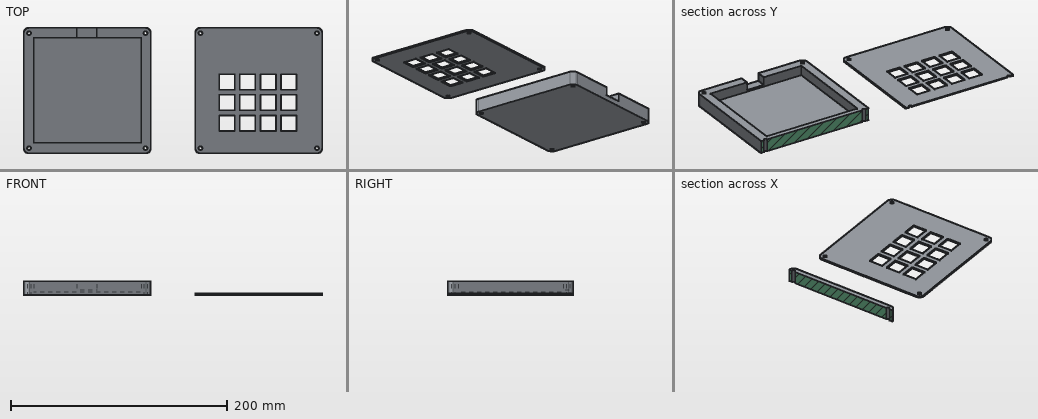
import cadquery as cq

width = 117.8
depth = 116.5
corner_radius = 5.0
screw_inset = corner_radius
screw_diameter = 3.3

case_height = 13.0
floor_thickness = 3.0
wall_side = 9.0
wall_front = 10.0
wall_back = 9.5
notch_left = 49.2
notch_width = 18.2
notch_floor = 5.0

total_length = 276.5
plate_left = total_length - width
plate_thickness = 1.5

key_columns = 4
key_rows = 3
key_size = 14.0
key_pitch = 19.0
first_key_left = 22.5
first_key_front = 21.0


def box_between(x, y, z, size_x, size_y, size_z):
    """Box whose lowest corner is at (x, y, z)."""
    return cq.Workplane("XY").box(size_x, size_y, size_z, centered=False).translate((x, y, z))


def drilled_slab(height):
    """Rounded slab with a through screw hole at each corner; its front left corner is the origin."""
    slab = box_between(0, 0, 0, width, depth, height).edges("|Z").fillet(corner_radius)
    for x in (screw_inset, width - screw_inset):
        for y in (screw_inset, depth - screw_inset):
            slab = slab.cut(cq.Workplane("XY").center(x, y).circle(screw_diameter / 2).extrude(height))
    return slab


def make_case():
    """Open tray with a cable notch through its back wall."""
    cavity = box_between(
        wall_side, wall_front, floor_thickness,
        width - 2 * wall_side, depth - wall_front - wall_back, case_height - floor_thickness,
    )
    notch = box_between(
        notch_left, depth - wall_back, notch_floor,
        notch_width, wall_back, case_height - notch_floor,
    )
    return drilled_slab(case_height).cut(cavity).cut(notch)


def make_plate():
    """Cover plate with a grid of square key openings."""
    plate = drilled_slab(plate_thickness)
    for column in range(key_columns):
        for row in range(key_rows):
            x = first_key_left + column * key_pitch
            y = first_key_front + row * key_pitch
            plate = plate.cut(box_between(x, y, 0, key_size, key_size, plate_thickness))
    return plate.translate((plate_left, 0, 0))


case = make_case()
plate = make_plate()

result = cq.Compound.makeCompound([case.val(), plate.val()])